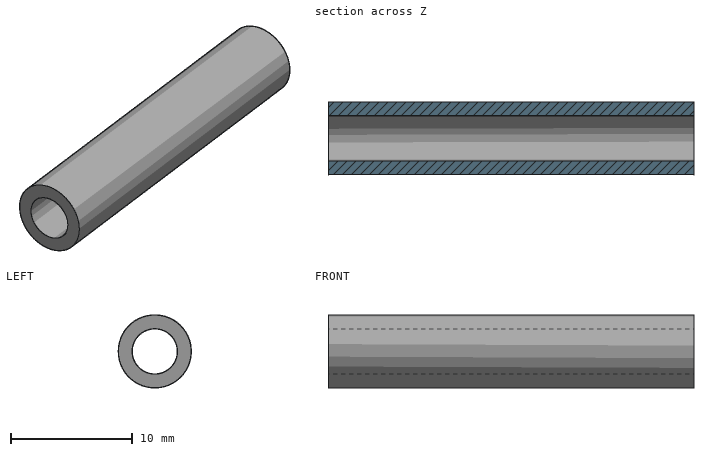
import cadquery as cq

length = 30.0
outer_diameter = 6.0
bore_diameter = 3.7

result = (
    cq.Workplane("YZ")
    .circle(outer_diameter / 2)
    .circle(bore_diameter / 2)
    .extrude(length)
)